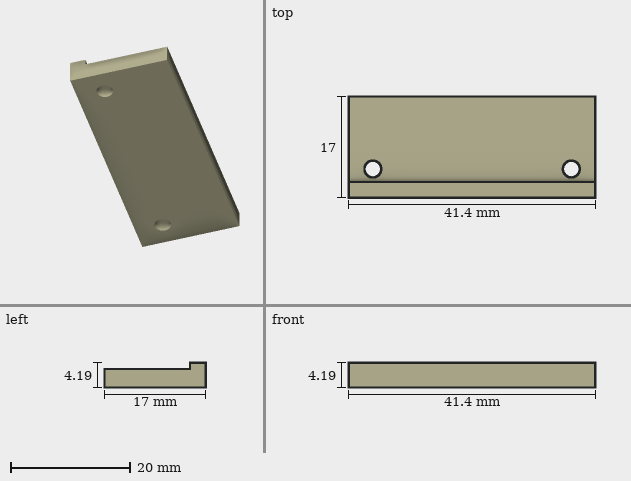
import cadquery as cq

length = 41.4
width = 17.02
height = 4.19

base_thickness = 3.12
lip_width = 2.67

hole_diameter = 2.79
hole_end_inset = 4.06
hole_front_inset = 4.83


def make_plate():
    """Flat base with its front lower corner at the origin."""
    return cq.Workplane("XY").box(length, width, base_thickness, centered=False)


def make_lip():
    """Full-height bar along the front edge."""
    return cq.Workplane("XY").box(length, lip_width, height, centered=False)


def drill_holes(body):
    """Cut one vertical through hole near each end."""
    hole_centres = [
        (hole_end_inset, hole_front_inset),
        (length - hole_end_inset, hole_front_inset),
    ]
    drills = (
        cq.Workplane("XY")
        .pushPoints(hole_centres)
        .circle(hole_diameter / 2)
        .extrude(height)
    )
    return body.cut(drills)


result = drill_holes(make_plate().union(make_lip()))